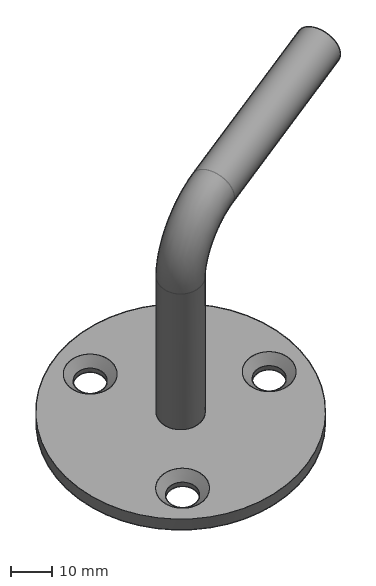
import cadquery as cq

length_y = 104.0
height = 75.0

plate_diameter = 70.0
plate_thickness = 4.0

rod_diameter = 12.0
bend_radius = 16.0
rod_axis_height = height - rod_diameter / 2
rod_end_y = length_y - plate_diameter / 2

hole_count = 3
hole_circle_radius = 25.0
first_hole_angle = 60.0
hole_diameter = 8.2
countersink_diameter = 13.0
countersink_angle = 90.0


def make_plate():
    """Disc with countersunk holes opening upwards."""
    disc = cq.Workplane("XY").circle(plate_diameter / 2).extrude(plate_thickness)
    return (
        disc.faces(">Z")
        .workplane()
        .polarArray(hole_circle_radius, first_hole_angle, 360, hole_count)
        .cskHole(hole_diameter, countersink_diameter, countersink_angle)
    )


def make_rod():
    """Rod rising from the plate, then bending to run level along +Y."""
    centreline = (
        cq.Workplane("YZ")
        .moveTo(0, plate_thickness)
        .lineTo(0, rod_axis_height - bend_radius)
        .radiusArc((bend_radius, rod_axis_height), bend_radius)
        .lineTo(rod_end_y, rod_axis_height)
    )
    section = cq.Workplane("XY", origin=(0, 0, plate_thickness)).circle(rod_diameter / 2)
    return section.sweep(centreline)


result = make_plate().union(make_rod())